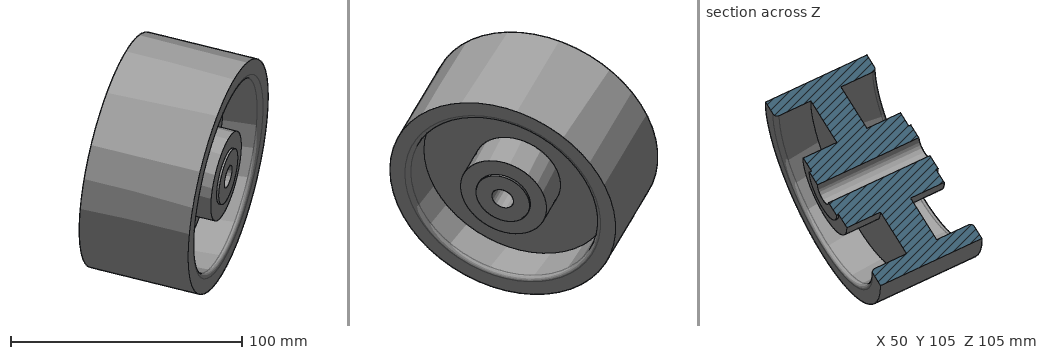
import cadquery as cq

wheel_width = 50.0
wheel_diameter = 105.0
cavity_diameter = 87.0
cavity_depth = 17.5
rim_lip_radius = 2.0
hub_diameter = 40.0
bushing_diameter = 25.0
bushing_protrusion = 1.0
bore_diameter = 10.0

web_thickness = wheel_width - 2 * cavity_depth
hub_width = wheel_width - 2 * bushing_protrusion


def centered_cylinder(diameter, width):
    """Cylinder along X, centered on the origin."""
    return cq.Workplane("YZ", origin=(-width / 2, 0, 0)).circle(diameter / 2).extrude(width)


def make_rim():
    """Outer ring with rounded lips at both ends of its inner wall."""
    ring = centered_cylinder(wheel_diameter, wheel_width).cut(
        centered_cylinder(cavity_diameter, wheel_width)
    )
    inner_edges = cq.selectors.RadiusNthSelector(0)
    return ring.faces("<X or >X").edges(inner_edges).fillet(rim_lip_radius)


def make_center():
    """Web, hub and the bushing that stands slightly proud of the hub."""
    web_diameter = (wheel_diameter + cavity_diameter) / 2
    web = centered_cylinder(web_diameter, web_thickness)
    hub = centered_cylinder(hub_diameter, hub_width)
    bushing = centered_cylinder(bushing_diameter, wheel_width)
    return web.union(hub).union(bushing)


bore = centered_cylinder(bore_diameter, wheel_width)
result = make_rim().union(make_center()).cut(bore)